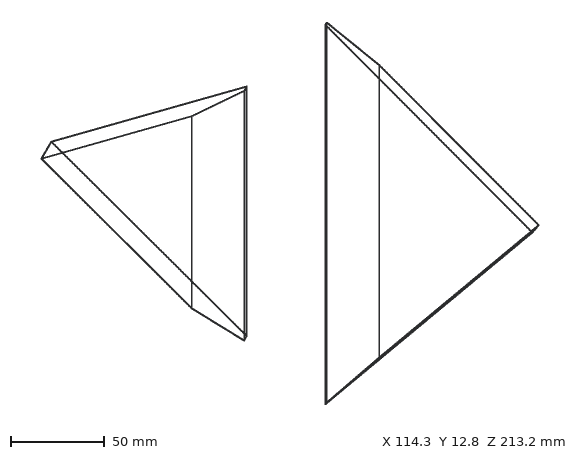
import cadquery as cq

height = 213.2
depth = 114.3
thickness = 12.8
bevel_width = 26.2
edge_thickness = 3.5

plate = (
    cq.Workplane("XZ")
    .polyline([(0, 0), (depth, -height / 2), (depth, height / 2)])
    .close()
    .extrude(thickness)
)

bevel_cut = (
    cq.Workplane("XY")
    .workplane(offset=-height / 2)
    .polyline([
        (depth - bevel_width, -thickness),
        (depth, -thickness),
        (depth, -edge_thickness),
    ])
    .close()
    .extrude(height)
)

result = plate.cut(bevel_cut)